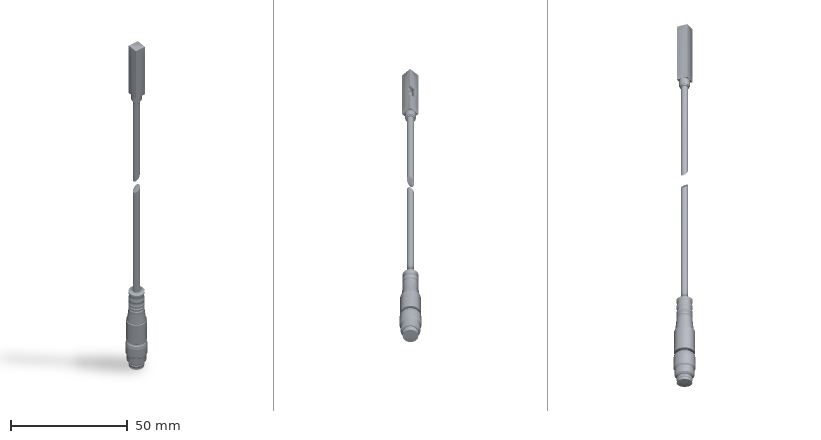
import cadquery as cq

cable_d = 3.0
cable_reach = 70.5
sensor_end_z = 104.3
sensor_end_slope = 1.4
plug_end_z = 97.6
plug_end_slope = 1.0

total_height = 176.2
sensor_width = 5.0
sensor_bottom_z = 150.0
sensor_y = 0.2
foot_d = 4.5
foot_bottom_z = 147.2
collar_d = 4.0
collar_bottom_z = 146.6

pocket_bottom_z = 159.3
pocket_length = 5.5
pocket_depth = 1.2
pocket_floor_y = 0.0
screw_shank_d = 2.8
screw_head_d = 4.0
screw_z = pocket_bottom_z + screw_head_d / 2
screw_head_height = 1.5

tip_end_d = 6.7
tip_bead_d = 7.0
tip_neck_d = 6.3
tip_bead_bottom_z = 1.5
tip_bead_top_z = 2.1
sleeve_d = 8.5
sleeve_bottom_z = 2.8
sleeve_chamfer = 0.7
sleeve_top_z = 6.7
nut_d = 9.5
nut_rim_d = 9.3
nut_top_d = 8.8
nut_bottom_z = 7.2
nut_rim_top_z = 7.5
nut_edge_z = 8.0
nut_chamfer_z = 12.2
nut_top_z = 13.5

neck_d = 6.0
body_d = 9.0
body_bottom_z = 15.0
body_top_z = 25.4
flare_d = 8.3
relief_d = 7.0
relief_bottom_z = 30.7
relief_top_z = 41.2
relief_round = 0.4
groove_d = 6.5
groove_spans = [(31.7, 32.8), (33.3, 34.4), (34.9, 37.0), (37.5, 40.2)]


def cylinder(diameter, bottom_z, top_z):
    """Upright cylinder on the part's axis."""
    return cq.Workplane("XY").workplane(offset=bottom_z).circle(diameter / 2).extrude(top_z - bottom_z)


def beside_slant(middle_z, slope, far_z):
    """Everything between a plane slanted along Y and the height far_z."""
    reach = sensor_width
    return (
        cq.Workplane("YZ")
        .moveTo(-reach, middle_z - slope * reach)
        .lineTo(reach, middle_z + slope * reach)
        .lineTo(reach, far_z)
        .lineTo(-reach, far_z)
        .close()
        .extrude(reach, both=True)
    )


def screw_cylinder(diameter, start_y, end_y):
    """Section of the screw, lying along Y."""
    return (
        cq.Workplane("XZ", origin=(0, start_y, screw_z))
        .circle(diameter / 2)
        .extrude(start_y - end_y)
    )


def make_sensor():
    """Square housing with its clamping screw, cable foot and cable stub."""
    housing = (
        cq.Workplane("XY", origin=(0, sensor_y, sensor_bottom_z))
        .rect(sensor_width, sensor_width)
        .extrude(total_height - sensor_bottom_z)
    )
    foot = cylinder(foot_d, foot_bottom_z, sensor_bottom_z)
    collar = cylinder(collar_d, collar_bottom_z, foot_bottom_z)
    cable = cylinder(cable_d, collar_bottom_z - cable_reach, collar_bottom_z)
    cable = cable.intersect(beside_slant(sensor_end_z, sensor_end_slope, collar_bottom_z))

    face_y = sensor_y + sensor_width / 2
    pocket = cq.Workplane("XY", origin=(-sensor_width / 2, pocket_floor_y, pocket_bottom_z)).box(
        pocket_depth, face_y - pocket_floor_y, pocket_length, centered=False
    )
    head_y = face_y - screw_head_height
    screw = screw_cylinder(screw_shank_d, pocket_floor_y, head_y)
    screw = screw.union(screw_cylinder(screw_head_d, head_y, face_y))
    return housing.cut(pocket).union(screw).union(foot).union(collar).union(cable)


def add_groove(outline, rim_diameter, waist_diameter, bottom_z, top_z):
    """A hollow arc from the outline's last point, through the waist, up to a rim."""
    middle = (waist_diameter / 2, (bottom_z + top_z) / 2)
    return outline.threePointArc(middle, (rim_diameter / 2, top_z))


def make_plug():
    """Turned plug with locking nut and grooved strain relief, and its cable stub."""
    outline = cq.Workplane("XZ").lineTo(tip_end_d / 2, 0)
    outline = add_groove(outline, tip_bead_d, tip_neck_d, 0, tip_bead_bottom_z)
    for diameter, z in [
        (tip_bead_d, tip_bead_top_z),
        (tip_neck_d, tip_bead_top_z),
        (tip_neck_d, sleeve_bottom_z),
        (sleeve_d - 2 * sleeve_chamfer, sleeve_bottom_z),
        (sleeve_d, sleeve_bottom_z + sleeve_chamfer),
        (sleeve_d, sleeve_top_z),
        (nut_rim_d, nut_bottom_z),
        (nut_rim_d, nut_rim_top_z),
        (nut_d, nut_edge_z),
        (nut_d, nut_chamfer_z),
        (nut_top_d, nut_top_z),
        (neck_d, nut_top_z),
        (neck_d, body_bottom_z),
        (body_d, body_bottom_z),
        (body_d, body_top_z),
        (flare_d, body_top_z),
    ]:
        outline = outline.lineTo(diameter / 2, z)
    upward = (0, 1)
    outline = outline.spline(
        [(relief_d / 2, relief_bottom_z)], tangents=[upward, upward], includeCurrent=True
    )
    for bottom_z, top_z in groove_spans:
        outline = outline.lineTo(relief_d / 2, bottom_z)
        outline = add_groove(outline, relief_d, groove_d, bottom_z, top_z)
    outline = outline.lineTo(relief_d / 2, relief_top_z).lineTo(0, relief_top_z).close()
    plug = outline.revolve(360, (0, 0, 0), (0, 1, 0)).faces(">Z").edges().fillet(relief_round)
    cable = cylinder(cable_d, relief_top_z, relief_top_z + cable_reach)
    cable = cable.intersect(beside_slant(plug_end_z, plug_end_slope, relief_top_z))
    return plug.union(cable)


sensor = make_sensor()
plug = make_plug()
result = cq.Compound.makeCompound([sensor.val(), plug.val()])